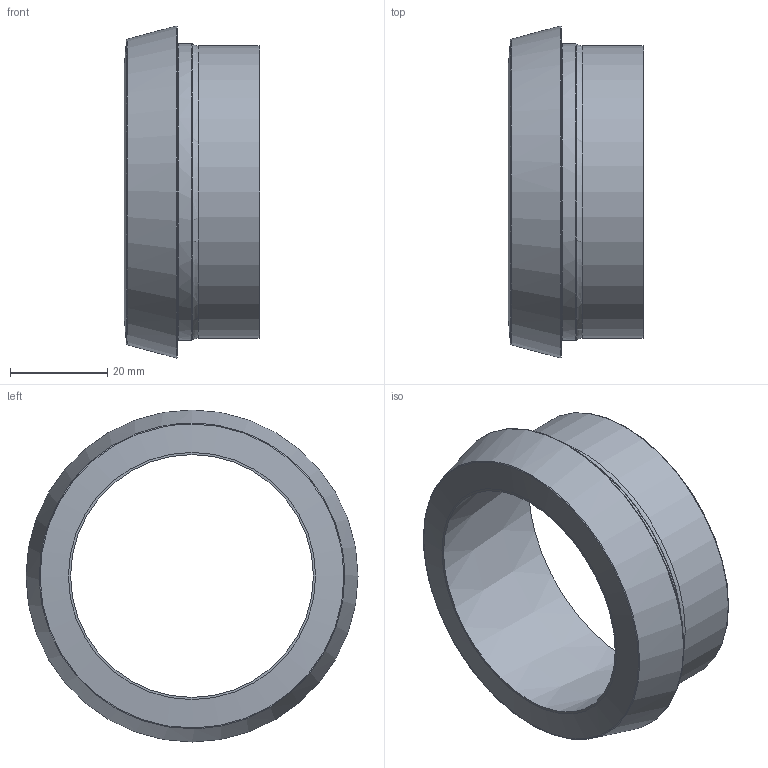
import cadquery as cq
import math

length = 28.0

collar_rear_x = 11.0
collar_radius = 34.25
collar_taper = 15.0
face_lean = 5.0

land_radius = 30.55
land_end_x = 14.0

tube_radius = 30.15
root_radius = 2.2

bore_front_radius = 25.0
face_flat_radius = 25.45
tube_wall = 2.0
bore_rear_radius = tube_radius - tube_wall

edge_radius = 0.2
match_tolerance = 0.001


def collar_rim():
    """Point (x, radius) where the leaning front face meets the collar taper."""
    taper_slope = math.tan(math.radians(collar_taper))
    face_slope = math.tan(math.radians(face_lean))
    taper_radius_at_face = collar_radius - collar_rear_x * taper_slope
    slopes = face_slope * taper_slope
    radius = (taper_radius_at_face - face_flat_radius * slopes) / (1 - slopes)
    return (radius - face_flat_radius) * face_slope, radius


def root_blend():
    """Middle and end points of the concave arc that runs out tangent to the tube."""
    centre_radius = tube_radius + root_radius
    sweep = math.acos((centre_radius - land_radius) / root_radius)
    end_x = land_end_x + root_radius * math.sin(sweep)
    middle = (
        end_x - root_radius * math.sin(sweep / 2),
        centre_radius - root_radius * math.cos(sweep / 2),
    )
    return middle, (end_x, tube_radius)


def revolved_body():
    """Half section in the XZ plane, turned about the X axis."""
    blend_middle, blend_end = root_blend()
    section = (
        cq.Workplane("XZ")
        .moveTo(0, bore_front_radius)
        .lineTo(0, face_flat_radius)
        .lineTo(*collar_rim())
        .lineTo(collar_rear_x, collar_radius)
        .lineTo(collar_rear_x, land_radius)
        .lineTo(land_end_x, land_radius)
        .threePointArc(blend_middle, blend_end)
        .lineTo(length, tube_radius)
        .lineTo(length, bore_rear_radius)
        .close()
    )
    return section.revolve(360, (0, 0, 0), (1, 0, 0))


def round_edge(body, x, radius):
    """Round the circular edge found at the given axial position and radius."""
    matches = [
        edge
        for edge in body.edges("%CIRCLE").vals()
        if abs(edge.arcCenter().x - x) < match_tolerance
        and abs(edge.radius() - radius) < match_tolerance
    ]
    return body.newObject(matches).fillet(edge_radius)


result = revolved_body()
rounded_corners = [
    collar_rim(),
    (collar_rear_x, collar_radius),
    (collar_rear_x, land_radius),
    (land_end_x, land_radius),
    (length, tube_radius),
]
for corner_x, corner_radius in rounded_corners:
    result = round_edge(result, corner_x, corner_radius)